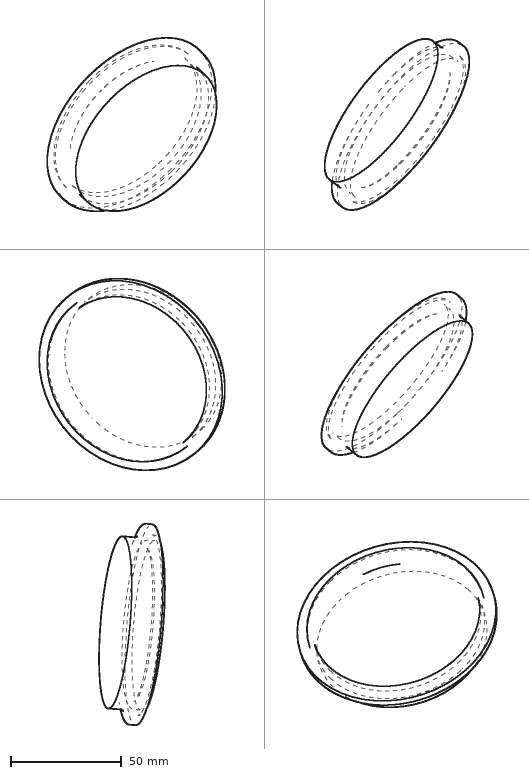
import cadquery as cq
import math


total_length = 15.0
flange_diameter = 91.0
nose_diameter = 81.6
hub_diameter = 78.0

nose_length = 1.9
cone_foot_depth = 7.65
clamp_angle = 20.0
flange_edge_radius = 1.0
hub_root_radius = 2.0

nose_edge_radius = 0.5
nose_root_radius = 0.5

recess_radius = 38.35
recess_edge_radius = 0.5
groove_section_radius = 2.0
groove_depth = 5.0
floor_edge_radius = 1.0
floor_radius = 33.9

flange_radius = flange_diameter / 2
nose_radius = nose_diameter / 2
hub_radius = hub_diameter / 2
front_x = -total_length / 2
rear_x = total_length / 2
flange_x = front_x + nose_length
cone_foot_x = front_x + cone_foot_depth
cone_rim_x = cone_foot_x - (flange_radius - hub_radius) * math.tan(math.radians(clamp_angle))
groove_centre_x = front_x + groove_depth - groove_section_radius
groove_centre_radius = recess_radius - groove_section_radius
edge_spread = groove_centre_radius - floor_radius
edge_span = groove_section_radius + floor_edge_radius
edge_angle = math.asin(edge_spread / edge_span)
floor_x = groove_centre_x + edge_span * math.cos(edge_angle) - floor_edge_radius


def round_ring(solid, x, ring_radius, fillet_radius):
    """Fillet the circular edge of the given radius that lies in the plane at x."""
    tolerance = 0.01
    inner = ring_radius - tolerance
    outer = ring_radius + tolerance
    edges = [
        edge
        for edge in solid.edges("%CIRCLE").vals()
        if abs(edge.Center().x - x) < tolerance and inner < edge.radius() < outer
    ]
    return solid.newObject(edges).fillet(fillet_radius)


def make_body():
    """Nose, flange, clamping cone and hub as one turned solid with rounded corners."""
    body = (
        cq.Workplane("XY")
        .moveTo(front_x, 0)
        .lineTo(front_x, nose_radius)
        .lineTo(flange_x, nose_radius)
        .lineTo(flange_x, flange_radius)
        .lineTo(cone_rim_x, flange_radius)
        .lineTo(cone_foot_x, hub_radius)
        .lineTo(rear_x, hub_radius)
        .lineTo(rear_x, 0)
        .close()
        .revolve(360, (0, 0, 0), (1, 0, 0))
    )
    body = round_ring(body, front_x, nose_radius, nose_edge_radius)
    body = round_ring(body, flange_x, nose_radius, nose_root_radius)
    body = round_ring(body, cone_rim_x, flange_radius, flange_edge_radius)
    return round_ring(body, cone_foot_x, hub_radius, hub_root_radius)


def arc_point(centre_x, centre_radius, radius, angle):
    """Point on a profile arc; the angle is measured from +X toward the axis."""
    return (centre_x + radius * math.cos(angle), centre_radius - radius * math.sin(angle))


def cut_recess(body):
    """Cut the floor and ring groove as one revolved profile, then round the mouth."""
    floor_edge_centre_x = floor_x + floor_edge_radius

    def floor_edge_point(angle):
        return arc_point(floor_edge_centre_x, floor_radius, -floor_edge_radius, angle)

    def groove_point(angle):
        return arc_point(groove_centre_x, groove_centre_radius, groove_section_radius, angle)

    recess = (
        cq.Workplane("XY")
        .moveTo(front_x, 0)
        .lineTo(floor_x, 0)
        .lineTo(floor_x, floor_radius)
        .threePointArc(floor_edge_point(edge_angle / 2), floor_edge_point(edge_angle))
        .threePointArc(groove_point(0), (groove_centre_x, recess_radius))
        .lineTo(front_x, recess_radius)
        .close()
        .revolve(360, (0, 0, 0), (1, 0, 0))
    )
    return round_ring(body.cut(recess), front_x, recess_radius, recess_edge_radius)


result = cut_recess(make_body())